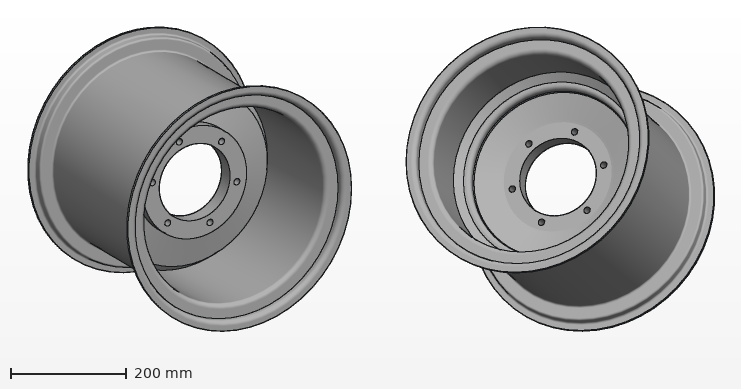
import cadquery as cq
import math

rim_width = 357.0
flange_radius = 220.5
sheet = 5.0
seat_radius = 207.5
seat_end = 20.5
seat_drop = 0.5
barrel_radius = 182.0
bend_inside = 3.5
bend_outside = bend_inside + sheet

disc_thickness = 9.0
hub_thickness = 31.0
skirt_start = 126.5
shoulder_x = 136.5
skirt_end_radius = 162.0
throat_radius = 150.0
shoulder_bend = 7.5
dish_bend_start = 150.2
dish_start = 153.5
dish_radius = 148.5
dish_inner_radius = 102.2
hub_x = 165.5
hub_radius = 98.3
hub_bend_depth = 1.0
bore_radius = 69.5
bolt_circle_radius = 84.0
bolt_hole_radius = 5.7
bolt_count = 6
bolt_start_angle = -9.0

bend_share = math.sqrt(0.5)


def revolve_about_x(profile):
    """Turn a closed (axial, radial) outline around the X axis."""
    return profile.close().revolve(360, (0, 0, 0), (1, 0, 0))


def bend(profile, start, end, centre, radius):
    """Quarter arc between two points around a centre."""
    side_x = math.copysign(1, start[0] + end[0] - 2 * centre[0])
    side_r = math.copysign(1, start[1] + end[1] - 2 * centre[1])
    reach = radius * bend_share
    middle = (centre[0] + side_x * reach, centre[1] + side_r * reach)
    return profile.lineTo(*start).threePointArc(middle, end)


def rim_half():
    """Flange, bead seat, wall and half of the barrel on the -X side."""
    middle = rim_width / 2
    barrel_inside = barrel_radius - sheet
    seat_inside = seat_radius - sheet
    flange_bend = (bend_outside, seat_radius + bend_inside)
    barrel_bend = (seat_end + bend_inside, barrel_radius + bend_inside)
    corner_x = seat_end - bend_inside
    corner_radius = seat_radius - seat_drop
    corner = (corner_x, corner_radius - bend_inside)

    outline = cq.Workplane("XY").moveTo(0, flange_radius).lineTo(sheet, flange_radius)
    outline = bend(outline, (sheet, flange_bend[1]), (flange_bend[0], seat_radius),
                   flange_bend, bend_inside)
    outline = bend(outline, (corner_x, corner_radius), (seat_end, corner[1]), corner, bend_inside)
    outline = bend(outline, (seat_end, barrel_bend[1]), (barrel_bend[0], barrel_radius),
                   barrel_bend, bend_inside)
    outline = outline.lineTo(middle, barrel_radius).lineTo(middle, barrel_inside)
    outline = bend(outline, (barrel_bend[0], barrel_inside), (seat_end - sheet, barrel_bend[1]),
                   barrel_bend, bend_outside)
    outline = outline.lineTo(seat_end - sheet, seat_inside - seat_drop)
    outline = bend(outline, (flange_bend[0], seat_inside), (0, flange_bend[1]),
                   flange_bend, bend_outside)
    return revolve_about_x(outline)


def disc():
    """Skirt, rounded shoulder, dish and flat hub."""
    skirt_radius = barrel_radius - sheet
    root_radius = skirt_radius + sheet / 2
    shoulder_centre = (shoulder_x + shoulder_bend, throat_radius + shoulder_bend)
    outline = cq.Workplane("XY").moveTo(skirt_start, root_radius).lineTo(skirt_start, skirt_radius)
    outline = outline.lineTo(shoulder_x, skirt_end_radius)
    outline = bend(outline, (shoulder_x, shoulder_centre[1]), (shoulder_centre[0], throat_radius),
                   shoulder_centre, shoulder_bend)
    outline = (
        outline.lineTo(dish_bend_start, throat_radius)
        .lineTo(dish_start, dish_radius)
        .lineTo(hub_x - hub_bend_depth, dish_inner_radius)
        .lineTo(hub_x, hub_radius)
        .lineTo(hub_x, bore_radius)
        .lineTo(hub_x + hub_thickness, bore_radius)
        .lineTo(hub_x + hub_thickness, dish_inner_radius)
        .lineTo(hub_x + disc_thickness, dish_inner_radius)
        .lineTo(dish_start + disc_thickness, skirt_end_radius)
        .lineTo(shoulder_x + disc_thickness, skirt_end_radius)
        .lineTo(skirt_start + disc_thickness, skirt_radius)
        .lineTo(skirt_start + disc_thickness, root_radius)
    )
    return revolve_about_x(outline)


def bolt_holes():
    return (
        cq.Workplane("YZ", origin=(hub_x, 0, 0))
        .polarArray(bolt_circle_radius, bolt_start_angle, 360, bolt_count)
        .circle(bolt_hole_radius)
        .extrude(hub_thickness)
    )


near_half = rim_half()
far_half = near_half.mirror("YZ", (rim_width / 2, 0, 0))
result = near_half.union(far_half).union(disc()).cut(bolt_holes()).clean()